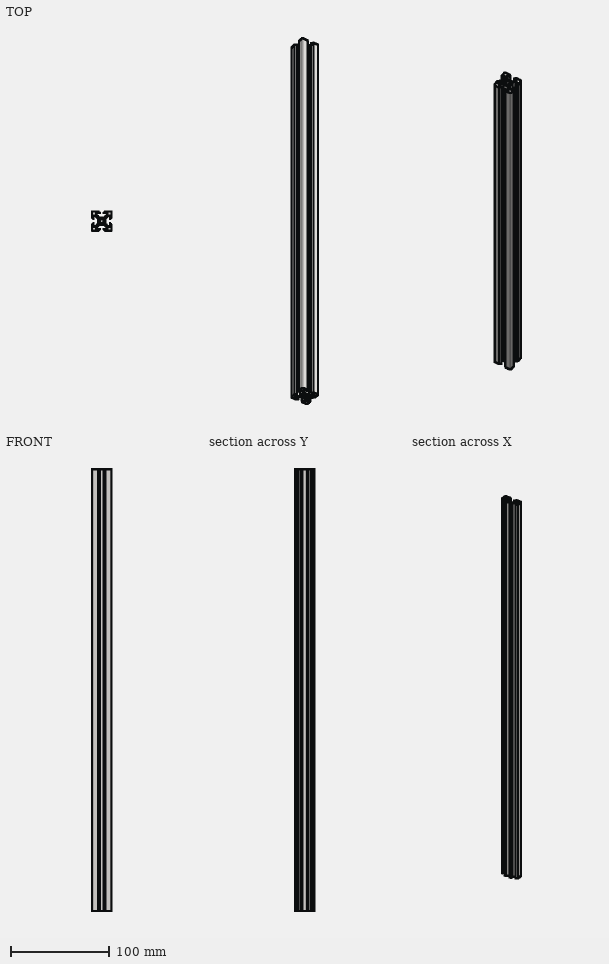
import cadquery as cq
import math

SIZE = 20.0
LENGTH = 450.0
CORNER_RADIUS = 0.97
BORE_DIAMETER = 4.2
LIP_THICKNESS = 1.8
THROAT_WIDTH = 4.0
CHAMBER_WIDTH = 11.0
CORE_WIDTH = 7.8
WEB_THICKNESS = 1.5
SLOT_COUNT = 4

HALF = SIZE / 2
LIP_BACK = HALF - LIP_THICKNESS
MOUTH_WIDTH = THROAT_WIDTH + 2 * LIP_THICKNESS
CHAMBER_HALF = CHAMBER_WIDTH / 2
CORE_HALF = CORE_WIDTH / 2
WEB_OFFSET = WEB_THICKNESS / math.sqrt(2)


def slot_half():
    """Right half of the slot section in the +Y side, from outer face to floor."""
    return [
        (MOUTH_WIDTH / 2, HALF),
        (THROAT_WIDTH / 2, LIP_BACK),
        (CHAMBER_HALF, LIP_BACK),
        (CHAMBER_HALF, CHAMBER_HALF + WEB_OFFSET),
        (CORE_HALF - WEB_OFFSET, CORE_HALF),
    ]


def slot_cutter():
    """Full-length prism of the slot in the +Y side."""
    right = slot_half()
    left = [(-x, y) for x, y in reversed(right)]
    return cq.Workplane("XY").polyline(right + left).close().extrude(LENGTH)


def rounded_bar():
    """Solid square bar with rounded long edges."""
    return cq.Workplane("XY").rect(SIZE, SIZE).extrude(LENGTH).edges("|Z").fillet(CORNER_RADIUS)


def cut_slots(bar):
    """Cut the same slot into each of the four sides."""
    for side in range(SLOT_COUNT):
        angle = side * 360 / SLOT_COUNT
        bar = bar.cut(slot_cutter().rotate((0, 0, 0), (0, 0, 1), angle))
    return bar


def cut_bore(bar):
    """Cut the central bore through the full length."""
    bore = cq.Workplane("XY").circle(BORE_DIAMETER / 2).extrude(LENGTH)
    return bar.cut(bore)


result = cut_bore(cut_slots(rounded_bar()))